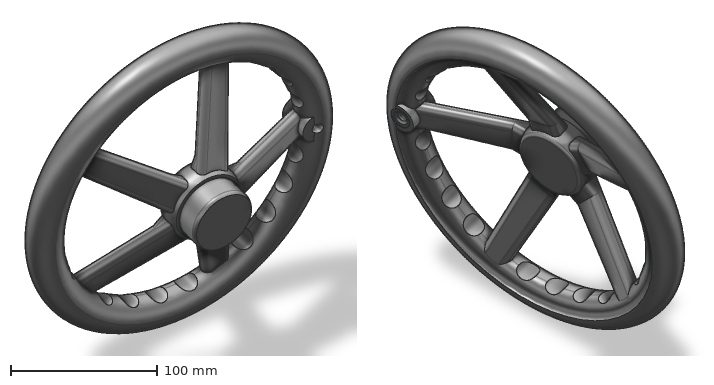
import cadquery as cq
import math


WHEEL_RADIUS = 125.0
TUBE_RADIUS = 13.5
TUBE_CENTRE_RADIUS = WHEEL_RADIUS - TUBE_RADIUS
RIM_INNER_RADIUS = TUBE_CENTRE_RADIUS - TUBE_RADIUS
LIP_RADIUS = 8.0
LIP_CREST_RADIUS = RIM_INNER_RADIUS + LIP_RADIUS
LIP_CREST_X = 4.1
LIP_CENTRE_X = LIP_CREST_X + LIP_RADIUS
GROOVE_WIDTH = 5.0
GROOVE_WALL_RADIUS = LIP_CREST_RADIUS + GROOVE_WIDTH

SPOKE_COUNT = 5
PITCHES_PER_SPOKE = 5
SPOKE_STEP = 360 / SPOKE_COUNT
GRIP_STEP = SPOKE_STEP / PITCHES_PER_SPOKE
GRIP_DEPTH = 3.0
GRIP_RADIUS = 10.0

HUB_FRONT_X = 28.4
HUB_FACE_RADIUS = 24.0
HUB_ROUND_LENGTH = 2.0
HUB_ROUND_DEPTH = 2.6
HUB_BELLY_RADIUS = 28.8
HUB_BACK_X = 49.2
HUB_BACK_RADIUS = 26.7
SHANK_RADIUS = 24.0
SHANK_BACK_X = 68.0
SHANK_ROUND_LENGTH = 3.4
SHANK_ROUND_DEPTH = 1.2

SPOKE_SLOPE = math.tan(math.radians(21.5))
SPOKE_ROOT_RADIUS = 20.0
SPOKE_BEND_RADIUS = 34.5
SPOKE_TIP_RADIUS = 102.5
SPOKE_BEND_FRONT_X = 31.7
SPOKE_DEPTH_X = 11.3
SPOKE_ROOT_HALF_WIDTH = 13.2
SPOKE_TIP_HALF_WIDTH = 10.8
SPOKE_FRONT_FILLET = 4.9
SPOKE_BACK_FILLET = 5.0

BOSS_CENTRE_RADIUS = 107.0
BOSS_RADIUS = 11.6
BOSS_FACE_X = 0.3
BOSS_BACK_X = 25.0
SPOTFACE_RADIUS = 16.1 / 2
SPOTFACE_DEPTH = 0.7
HOLE_RADIUS = 4.0
COUNTERSINK_DEPTH = 1.7


def around_axis(body, angle):
    return body.rotate((0, 0, 0), (1, 0, 0), angle)


def revolve_about_axis(profile):
    return profile.close().revolve(360, (0, 0, 0), (1, 0, 0))


def cylinder_along_x(radius, start_x, end_x):
    """Cylinder through the handle centre, parallel to the wheel axis."""
    return (
        cq.Workplane("YZ", origin=(start_x, BOSS_CENTRE_RADIUS, 0))
        .circle(radius)
        .extrude(end_x - start_x)
    )


def make_rim():
    diagonal = math.sqrt(0.5)
    rear_length = 2 * TUBE_RADIUS - LIP_CENTRE_X
    wall_offset = TUBE_CENTRE_RADIUS - GROOVE_WALL_RADIUS
    wall_x = TUBE_RADIUS - math.sqrt(TUBE_RADIUS**2 - wall_offset**2)
    groove_depth = LIP_CREST_X - wall_x
    groove_radius = (groove_depth**2 + GROOVE_WIDTH**2) / (2 * groove_depth)
    profile = (
        cq.Workplane("XY")
        .moveTo(wall_x, GROOVE_WALL_RADIUS)
        .threePointArc((TUBE_RADIUS, WHEEL_RADIUS), (2 * TUBE_RADIUS, TUBE_CENTRE_RADIUS))
        .threePointArc(
            (LIP_CENTRE_X + rear_length * diagonal, TUBE_CENTRE_RADIUS - TUBE_RADIUS * diagonal),
            (LIP_CENTRE_X, RIM_INNER_RADIUS),
        )
        .threePointArc(
            (LIP_CENTRE_X - LIP_RADIUS * diagonal, LIP_CREST_RADIUS - LIP_RADIUS * diagonal),
            (LIP_CREST_X, LIP_CREST_RADIUS),
        )
        .radiusArc((wall_x, GROOVE_WALL_RADIUS), -groove_radius)
    )
    return revolve_about_axis(profile)


def make_grip_cutter():
    """Cylinder parallel to the wheel axis that scoops one grip out of the rim on the +Y side."""
    centre_radius = RIM_INNER_RADIUS + GRIP_DEPTH - GRIP_RADIUS
    return cq.Workplane("YZ").center(centre_radius, 0).circle(GRIP_RADIUS).extrude(2 * TUBE_RADIUS)


def make_hub():
    belly_start_x = HUB_FRONT_X + HUB_ROUND_LENGTH
    front_round_radius = (HUB_ROUND_LENGTH**2 + HUB_ROUND_DEPTH**2) / (2 * HUB_ROUND_LENGTH)
    back_round_radius = (SHANK_ROUND_LENGTH**2 + SHANK_ROUND_DEPTH**2) / (2 * SHANK_ROUND_DEPTH)
    profile = (
        cq.Workplane("XY")
        .moveTo(HUB_FRONT_X, 0)
        .lineTo(HUB_FRONT_X, HUB_FACE_RADIUS)
        .radiusArc((belly_start_x, HUB_FACE_RADIUS + HUB_ROUND_DEPTH), front_round_radius)
        .threePointArc(
            ((belly_start_x + HUB_BACK_X) / 2, HUB_BELLY_RADIUS),
            (HUB_BACK_X, HUB_BACK_RADIUS),
        )
        .lineTo(HUB_BACK_X, SHANK_RADIUS)
        .lineTo(SHANK_BACK_X - SHANK_ROUND_LENGTH, SHANK_RADIUS)
        .radiusArc((SHANK_BACK_X, SHANK_RADIUS - SHANK_ROUND_DEPTH), back_round_radius)
        .lineTo(SHANK_BACK_X, 0)
    )
    return revolve_about_axis(profile)


def side_edges(bar, x, radius):
    """Long edges on both sides of the spoke face whose middle is at x and radius."""
    face = bar.faces(cq.selectors.NearestToPointSelector((x, radius, 0)))
    return face.edges("not |Z")


def make_spoke():
    """Spoke along +Y: its side outline cut to its tapered front outline."""
    tip_front_x = SPOKE_BEND_FRONT_X - SPOKE_SLOPE * (SPOKE_TIP_RADIUS - SPOKE_BEND_RADIUS)
    root_back_x = SPOKE_BEND_FRONT_X + SPOKE_DEPTH_X + SPOKE_SLOPE * (SPOKE_BEND_RADIUS - SPOKE_ROOT_RADIUS)
    side_outline = [
        (SPOKE_BEND_FRONT_X, SPOKE_ROOT_RADIUS),
        (SPOKE_BEND_FRONT_X, SPOKE_BEND_RADIUS),
        (tip_front_x, SPOKE_TIP_RADIUS),
        (tip_front_x + SPOKE_DEPTH_X, SPOKE_TIP_RADIUS),
        (root_back_x, SPOKE_ROOT_RADIUS),
    ]
    front_outline = [
        (SPOKE_ROOT_RADIUS, -SPOKE_ROOT_HALF_WIDTH),
        (SPOKE_TIP_RADIUS, -SPOKE_TIP_HALF_WIDTH),
        (SPOKE_TIP_RADIUS, SPOKE_TIP_HALF_WIDTH),
        (SPOKE_ROOT_RADIUS, SPOKE_ROOT_HALF_WIDTH),
    ]
    side = cq.Workplane("XY").polyline(side_outline).close().extrude(SPOKE_ROOT_HALF_WIDTH, both=True)
    front = cq.Workplane("YZ").polyline(front_outline).close().extrude(SHANK_BACK_X)
    bar = side.intersect(front)

    slope_middle_radius = (SPOKE_BEND_RADIUS + SPOKE_TIP_RADIUS) / 2
    slope_front_x = (SPOKE_BEND_FRONT_X + tip_front_x) / 2
    root_middle_radius = (SPOKE_ROOT_RADIUS + SPOKE_BEND_RADIUS) / 2
    bar = side_edges(bar, slope_front_x + SPOKE_DEPTH_X, slope_middle_radius).fillet(SPOKE_BACK_FILLET)
    slope_edges = side_edges(bar, slope_front_x, slope_middle_radius)
    root_edges = side_edges(bar, SPOKE_BEND_FRONT_X, root_middle_radius)
    return slope_edges.add(root_edges).fillet(SPOKE_FRONT_FILLET)


def make_boss():
    """Boss column, kept inside the grip tube so that its face ends at the tube."""
    limit = cq.Workplane("YZ").circle(TUBE_CENTRE_RADIUS).extrude(BOSS_BACK_X)
    return cylinder_along_x(BOSS_RADIUS, BOSS_FACE_X, BOSS_BACK_X).intersect(limit)


def cut_handle_hole(body):
    """Shallow spotface, countersink and through hole for the handle."""
    seat_x = BOSS_FACE_X + SPOTFACE_DEPTH
    spotface = cylinder_along_x(SPOTFACE_RADIUS, 0, seat_x)
    hole = cylinder_along_x(HOLE_RADIUS, 0, 2 * TUBE_RADIUS)
    countersink = cq.Solid.makeCone(
        HOLE_RADIUS + COUNTERSINK_DEPTH,
        HOLE_RADIUS,
        COUNTERSINK_DEPTH,
        cq.Vector(seat_x, BOSS_CENTRE_RADIUS, 0),
        cq.Vector(1, 0, 0),
    )
    return body.cut(spotface).cut(hole).cut(countersink)


def make_wheel():
    wheel = make_rim()
    for spoke_index in range(SPOKE_COUNT):
        for pitch_index in range(1, PITCHES_PER_SPOKE):
            angle = spoke_index * SPOKE_STEP + pitch_index * GRIP_STEP
            wheel = wheel.cut(around_axis(make_grip_cutter(), angle))
    wheel = wheel.union(make_hub())
    for spoke_index in range(SPOKE_COUNT):
        wheel = wheel.union(around_axis(make_spoke(), spoke_index * SPOKE_STEP))
    return cut_handle_hole(wheel.union(make_boss()))


result = make_wheel()